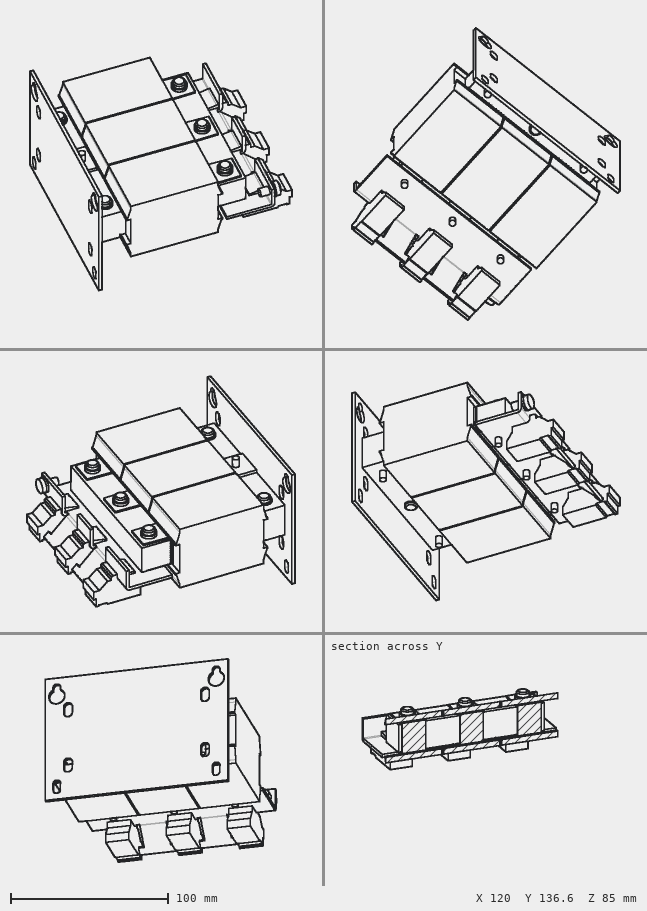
import cadquery as cq
import math


plate_width = 120.0
plate_height = 85.0
plate_thick = 2.3
corner_hole_x = 52.3
corner_slot_width = 4.9
corner_slot_end_z = 38.3
corner_slot_length = 9.2
keyhole_z = 29.7
keyhole_radius = 5.2
inner_slot_x = 45.0
inner_slot_z = 19.4
inner_slot_width = 5.6
inner_slot_length = 9.7

pitch = 39.9
coil_xs = [-pitch, 0, pitch]
mid_z = 2.3
core_width = 100.5
front_core_height = 20.9
back_core_height = 18.9
core_back_y = 104.0
back_yoke_start_y = 83.5
leg_width = 16.4
core_top_z = mid_z + front_core_height / 2
core_bottom_z = mid_z - front_core_height / 2

coil_width = 39.0
coil_front_y = 22.1
coil_back_y = 81.6
coil_half_height = 22.8
flap_root_half_height = 20.2
flap_tip_half_height = 11.9
flap_base_half_height = 11.0
flap_reach = 3.0
flap_lip = 0.5
end_wall_thick = 1.2

tab_end_y = 101.8
tab_tip_width = 16.4
tab_root_width = 17.4
tab_thick = (front_core_height - back_core_height) / 2

front_bolt_y = 12.0
back_bolt_y = 93.9
washer_radius = 5.0
washer_thick = 1.0
bolt_head_radius = 4.1
bolt_head_height = 3.1
bolt_head_chamfer = 1.0
front_shank_radius = 2.2
back_shank_radius = 2.0
front_shank_reach = 18.5
back_shank_reach = 17.6

upper_lug_width = 20.2
lower_lug_width = core_width
lug_end_y = 18.3
lug_thick = 2.0

sheet = 2.2
bend_inner_radius = 0.5
bend_outer_radius = bend_inner_radius + sheet
bracket_front_y = 87.3
bracket_back_y = 120.0
bracket_top_z = 5.0
shelf_top_z = core_bottom_z
shelf_bottom_z = shelf_top_z - sheet
notch_start_y = 116.3
notch_inner_x = 9.2
notch_outer_x = 30.9
tongue_angle = math.radians(45)
tongue_end_y = 132.4
tongue_foot_y = 129.0
tongue_width = 17.5
tongue_x = pitch / 2

block_width = 15.3
block_outline = [
    (136.6, -13.8), (132.8, -13.8), (127.0, -8.5), (124.2, -8.5), (124.2, -6.1), (123.1, -5.3),
    (116.3, -5.3), (107.4, -7.1), (107.4, -14.5), (103.5, -20.8), (103.5, -26.2), (126.8, -26.2),
    (127.6, -25.1), (133.1, -25.1), (133.1, -25.8), (135.0, -25.8), (135.0, -20.0), (136.6, -20.0),
]

screw_x = 54.7
screw_z = -0.4
screw_shank_radius = 2.7
screw_end_y = 111.6
screw_washer_thick = 1.4
screw_head_radius = 4.8
screw_head_side = 2.9
screw_dome_height = 1.5


def box(x_range, y_range, z_range):
    """Box between the given limits."""
    size = [end - start for start, end in (x_range, y_range, z_range)]
    corner = (x_range[0], y_range[0], z_range[0])
    return cq.Workplane("XY").box(*size, centered=False).translate(corner)


def centred_box(x, width, y_range, z_range):
    """Box of a given width centred on x."""
    return box((x - width / 2, x + width / 2), y_range, z_range)


def side_profile(outline, x, width):
    """Closed outline in (Y, Z) made into a bar of a given width centred on x."""
    bar = cq.Workplane("YZ").polyline(outline).close().extrude(width / 2, both=True)
    return bar.translate((x, 0, 0))


def make_plate():
    """Mounting plate with keyholes, slots and the two lugs that hold the core."""
    plate = centred_box(0, plate_width, (0, plate_thick), (-plate_height / 2, plate_height / 2))
    slot_z = corner_slot_end_z - corner_slot_length / 2
    keyway_length = corner_slot_end_z - keyhole_z + corner_slot_width / 2
    keyway_z = corner_slot_end_z - keyway_length / 2

    def pair(x, z):
        return cq.Workplane("XZ").pushPoints([(-x, z), (x, z)])

    def slot_pair(x, z, length, width):
        return pair(x, z).slot2D(length, width, 90).extrude(-plate_thick)

    plate = plate.cut(pair(corner_hole_x, keyhole_z).circle(keyhole_radius).extrude(-plate_thick))
    plate = plate.cut(slot_pair(corner_hole_x, keyway_z, keyway_length, corner_slot_width))
    plate = plate.cut(slot_pair(corner_hole_x, -slot_z, corner_slot_length, corner_slot_width))
    for z in (inner_slot_z, -inner_slot_z):
        plate = plate.cut(slot_pair(inner_slot_x, z, inner_slot_length, inner_slot_width))

    lug_y = (plate_thick, lug_end_y)
    upper_z = (core_top_z, core_top_z + lug_thick)
    lower_z = (core_bottom_z - lug_thick, core_bottom_z)
    plate = plate.union(centred_box(0, upper_lug_width, lug_y, upper_z))
    return plate.union(centred_box(0, lower_lug_width, lug_y, lower_z))


def make_core():
    """Front and back yokes joined by a leg through each coil."""
    back_z = (mid_z - back_core_height / 2, mid_z + back_core_height / 2)
    core = centred_box(0, core_width, (plate_thick, coil_front_y), (core_bottom_z, core_top_z))
    core = core.union(centred_box(0, core_width, (back_yoke_start_y, core_back_y), back_z))
    for x in coil_xs:
        core = core.union(centred_box(x, leg_width, (coil_front_y, back_yoke_start_y), back_z))
    return core


def make_coil(x):
    """Coil block with flaps that lean outward at both ends, above and below the core."""
    coil_z = (mid_z - coil_half_height, mid_z + coil_half_height)
    coil = centred_box(x, coil_width, (coil_front_y, coil_back_y), coil_z)
    for end_y, outward in ((coil_front_y, -1), (coil_back_y, 1)):
        tip_y = end_y + outward * flap_reach
        slope_end_y = tip_y - outward * flap_lip
        for up in (1, -1):
            outline = [
                (end_y, mid_z + up * flap_root_half_height),
                (slope_end_y, mid_z + up * flap_tip_half_height),
                (tip_y, mid_z + up * flap_tip_half_height),
                (tip_y, mid_z + up * flap_base_half_height),
                (end_y, mid_z + up * flap_base_half_height),
            ]
            coil = coil.union(side_profile(outline, x, coil_width))
    return coil


def make_end_wall():
    """Thin insulating wall between the coils and the back yoke."""
    wall_y = (coil_back_y, coil_back_y + end_wall_thick)
    wall_z = (mid_z - back_core_height / 2, mid_z + back_core_height / 2)
    return centred_box(0, core_width, wall_y, wall_z)


def make_tabs(x):
    """Tapered tabs lying on the top and bottom of the back yoke."""
    outline = [
        (x - tab_root_width / 2, coil_back_y), (x + tab_root_width / 2, coil_back_y),
        (x + tab_tip_width / 2, tab_end_y), (x - tab_tip_width / 2, tab_end_y),
    ]
    tab = cq.Workplane("XY").polyline(outline).close().extrude(tab_thick)
    upper = tab.translate((0, 0, core_top_z - tab_thick))
    return upper.union(tab.translate((0, 0, core_bottom_z)))


def make_bolt(x, y, washers, shank_radius, shank_reach):
    """Vertical bolt with its head on top of the core and its shank reaching below."""
    head_z = core_top_z + washers * washer_thick
    bolt = cq.Workplane("XY", origin=(x, y, core_top_z)).circle(washer_radius)
    bolt = bolt.extrude(washers * washer_thick)
    head = cq.Workplane("XY", origin=(x, y, head_z)).circle(bolt_head_radius).extrude(bolt_head_height)
    head = head.faces(">Z").chamfer(bolt_head_chamfer)
    shank_length = head_z - mid_z + shank_reach
    shank = cq.Workplane("XY", origin=(x, y, head_z)).circle(shank_radius).extrude(-shank_length)
    return bolt.union(head).union(shank)


def make_bolts():
    """Three back bolts, and three front bolts with the middle one turned upside down."""
    bolts = [make_bolt(x, back_bolt_y, 2, back_shank_radius, back_shank_reach) for x in coil_xs]
    for x in coil_xs:
        bolt = make_bolt(x, front_bolt_y, 1, front_shank_radius, front_shank_reach)
        if x == 0:
            bolt = bolt.rotate((0, 0, mid_z), (0, 1, mid_z), 180)
        bolts.append(bolt)
    return bolts


def make_bracket():
    """Angle bracket: a shelf under the back yoke and an upright with two notches."""
    profile = (
        cq.Workplane("YZ")
        .moveTo(bracket_front_y, shelf_bottom_z)
        .lineTo(bracket_back_y - bend_outer_radius, shelf_bottom_z)
        .radiusArc((bracket_back_y, shelf_bottom_z + bend_outer_radius), -bend_outer_radius)
        .lineTo(bracket_back_y, bracket_top_z)
        .lineTo(bracket_back_y - sheet, bracket_top_z)
        .lineTo(bracket_back_y - sheet, shelf_top_z + bend_inner_radius)
        .radiusArc((bracket_back_y - bend_outer_radius, shelf_top_z), bend_inner_radius)
        .lineTo(bracket_front_y, shelf_top_z)
        .close()
    )
    bracket = profile.extrude(plate_width / 2, both=True)
    notch_y = (notch_start_y, bracket_back_y)
    notch_z = (shelf_bottom_z, bracket_top_z)
    for x_range in ((-notch_outer_x, -notch_inner_x), (notch_inner_x, notch_outer_x)):
        bracket = bracket.cut(box(x_range, notch_y, notch_z))
    return bracket


def make_tongue(x):
    """Strip bent down from the shelf in a notch, with a wide foot between two terminal blocks."""
    sine = math.sin(tongue_angle)
    cosine = math.cos(tongue_angle)
    bend_z = shelf_top_z - bend_outer_radius

    def on_bend(radius, angle):
        return (notch_start_y + radius * math.sin(angle), bend_z + radius * math.cos(angle))

    top_start = on_bend(bend_outer_radius, tongue_angle)
    bottom_start = on_bend(bend_inner_radius, tongue_angle)
    run = (tongue_end_y - top_start[0]) / cosine
    foot_run = (tongue_end_y - tongue_foot_y) / cosine

    def down_slope(point, distance):
        return (point[0] + distance * cosine, point[1] - distance * sine)

    top_end = down_slope(top_start, run)
    bottom_end = down_slope(bottom_start, run)
    strip = (
        cq.Workplane("YZ")
        .moveTo(notch_start_y, shelf_top_z)
        .threePointArc(on_bend(bend_outer_radius, tongue_angle / 2), top_start)
        .lineTo(*top_end)
        .lineTo(*bottom_end)
        .lineTo(*bottom_start)
        .threePointArc(on_bend(bend_inner_radius, tongue_angle / 2), (notch_start_y, shelf_bottom_z))
        .close()
        .extrude(tongue_width / 2, both=True)
        .translate((x, 0, 0))
    )
    foot = [down_slope(top_end, -foot_run), top_end, bottom_end, down_slope(bottom_end, -foot_run)]
    return strip.union(side_profile(foot, x, pitch - block_width))


def make_earth_screw():
    """Domed screw with a washer, through the right end of the bracket upright."""
    washer_y = bracket_back_y + screw_washer_thick
    side_y = washer_y + screw_head_side
    dome_y = side_y + screw_dome_height
    dome_radius = (screw_head_radius**2 + screw_dome_height**2) / (2 * screw_dome_height)
    half = (
        cq.Workplane("XY")
        .moveTo(0, screw_end_y)
        .lineTo(screw_shank_radius, screw_end_y)
        .lineTo(screw_shank_radius, bracket_back_y)
        .lineTo(washer_radius, bracket_back_y)
        .lineTo(washer_radius, washer_y)
        .lineTo(screw_head_radius, washer_y)
        .lineTo(screw_head_radius, side_y)
        .radiusArc((0, dome_y), -dome_radius)
        .close()
    )
    screw = half.revolve(360, (0, 0, 0), (0, 1, 0))
    return screw.translate((screw_x, 0, screw_z))


parts = [make_core(), make_end_wall(), make_bracket(), make_earth_screw()]
parts += make_bolts()
for coil_x in coil_xs:
    parts.append(make_coil(coil_x))
    parts.append(make_tabs(coil_x))
    parts.append(side_profile(block_outline, coil_x, block_width))
for side in (-1, 1):
    parts.append(make_tongue(side * tongue_x))

result = make_plate()
for part in parts:
    result = result.union(part)